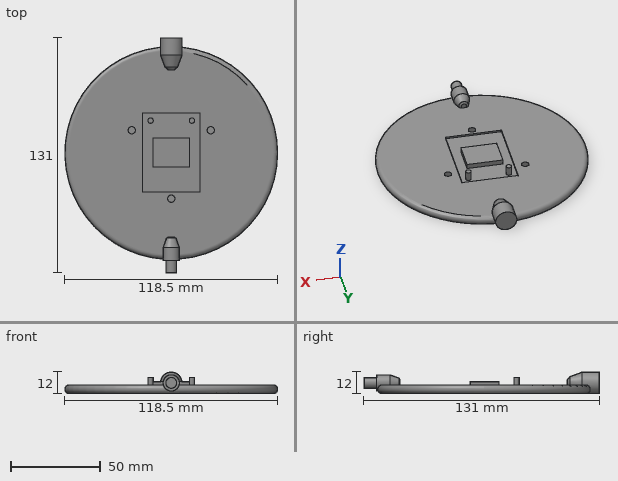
import cadquery as cq

disc_diameter = 118.5
disc_thickness = 5.0
rim_radius = disc_thickness / 2
disc_radius = disc_diameter / 2

pocket_width = 32.0
pocket_length = 43.9
pocket_depth = 1.0
pocket_center_y = 0.3
block_width = 20.5
block_length = 16.2
block_height = 2.8
pocket_floor = disc_thickness - pocket_depth

pin_diameter = 3.0
pin_spacing = 23.0
pin_y = 18.1
pin_height = 5.1

hole_diameter = 4.0
hole_circle_radius = 25.4
hole_depth = 3.9
hole_count = 3
first_hole_angle = -90

overall_length = 131
large_diameter = 12.0
connector_axis_z = large_diameter / 2

large_end_y = 64.2
large_body_length = 7.4
large_taper_length = 5.0
large_tip_length = 1.3
large_taper_diameter = 7.2
large_tip_diameter = 3.4

spigot_diameter = 6.0
spigot_end_y = large_end_y - overall_length
spigot_length = 5.3
small_diameter = 9.0
small_body_length = 5.6
small_taper_length = 3.9
small_tip_length = 0.5
small_taper_diameter = 5.5
small_tip_diameter = 3.0


def make_disc():
    flat_radius = disc_radius - rim_radius
    half_section = (
        cq.Workplane("XZ")
        .lineTo(flat_radius, 0)
        .threePointArc((disc_radius, rim_radius), (flat_radius, disc_thickness))
        .lineTo(0, disc_thickness)
        .close()
    )
    return half_section.revolve(360, (0, 0, 0), (0, 1, 0))


def make_pocket():
    pocket = cq.Workplane("XY", origin=(0, pocket_center_y, pocket_floor))
    return pocket.rect(pocket_width, pocket_length).extrude(pocket_depth)


def make_block():
    block = cq.Workplane("XY", origin=(0, pocket_center_y, pocket_floor))
    return block.rect(block_width, block_length).extrude(block_height)


def make_pins():
    pin_points = [(side * pin_spacing / 2, pin_y) for side in (-1, 1)]
    pins = cq.Workplane("XY", origin=(0, 0, pocket_floor)).pushPoints(pin_points)
    return pins.circle(pin_diameter / 2).extrude(pin_height)


def make_holes():
    hole_tops = cq.Workplane("XY", origin=(0, 0, disc_thickness))
    holes = hole_tops.polarArray(hole_circle_radius, first_hole_angle, 360, hole_count)
    return holes.circle(hole_diameter / 2).extrude(-hole_depth)


def make_connector(end_y, inward, sections):
    """Revolve (length, start diameter, end diameter) sections, laid inward from end_y."""
    y = end_y
    outline = [(0, y)]
    for length, start_diameter, end_diameter in sections:
        outline.append((start_diameter / 2, y))
        y += inward * length
        outline.append((end_diameter / 2, y))
    outline.append((0, y))
    corners = [point for i, point in enumerate(outline) if i == 0 or point != outline[i - 1]]
    profile = cq.Workplane("XY", origin=(0, 0, connector_axis_z)).polyline(corners).close()
    return profile.revolve(360, (0, 0, 0), (0, 1, 0))


large_connector = make_connector(large_end_y, -1.3, [
    (large_body_length, large_diameter, large_diameter),
    (large_taper_length, large_diameter, large_taper_diameter),
    (large_tip_length, large_taper_diameter, large_tip_diameter),
])
small_connector = make_connector(spigot_end_y, 1.3, [
    (spigot_length, spigot_diameter, spigot_diameter),
    (small_body_length, small_diameter, small_diameter),
    (small_taper_length, small_diameter, small_taper_diameter),
    (small_tip_length, small_taper_diameter, small_tip_diameter),
])

plate = make_disc().cut(make_pocket()).cut(make_holes())
fittings = [make_block(), make_pins(), large_connector, small_connector]
result = plate
for fitting in fittings:
    result = result.union(fitting)